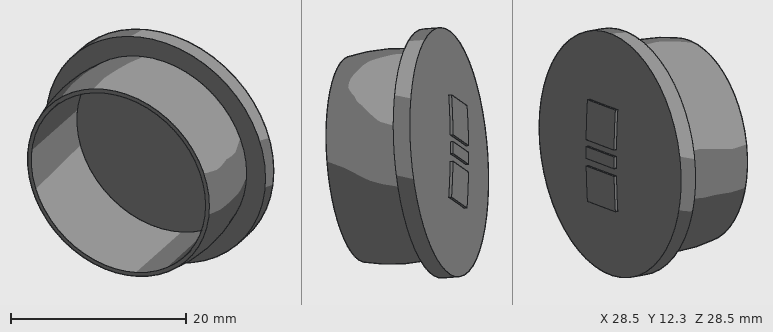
import cadquery as cq
import math


flange_radius = 28.5 / 2
flange_thickness = 2.0
dome_height = 1.1

plug_length = 8.9
plug_end_radius = 23.6 / 2
plug_belly_radius = 24.6 / 2
bore_radius = 22.6 / 2
bore_depth = plug_length + flange_thickness

pad_height = 0.3
pad_width = 5.6
pad_spans = [(1.3, 6.0), (-0.9, 0.5), (-6.0, -1.8)]

dome_top = flange_thickness + dome_height
dome_radius = (flange_radius**2 + dome_height**2) / (2 * dome_height)
dome_centre = dome_top - dome_radius


def dome_surface_y(radius, offset=0.0):
    """Y of the dome, grown outward by offset, at a distance from the axis."""
    return dome_centre + math.sqrt((dome_radius + offset) ** 2 - radius**2)


def make_body():
    """Revolve flange, dome and barrel plug as one profile about Y."""
    dome_middle_radius = flange_radius / 2
    profile = (
        cq.Workplane("XY")
        .moveTo(0, -plug_length)
        .lineTo(plug_end_radius, -plug_length)
        .threePointArc((plug_belly_radius, -plug_length / 2), (plug_end_radius, 0))
        .lineTo(flange_radius, 0)
        .lineTo(flange_radius, flange_thickness)
        .threePointArc(
            (dome_middle_radius, dome_surface_y(dome_middle_radius)),
            (0, dome_top),
        )
        .close()
    )
    return profile.revolve(360, (0, 0, 0), (0, 1, 0))


def make_bore():
    """Straight blind bore from the open end of the plug."""
    return (
        cq.Workplane("XZ", origin=(0, -plug_length, 0))
        .circle(bore_radius)
        .extrude(-bore_depth)
    )


def make_pad(z_low, z_high):
    """Pad rising from inside the flange to a surface parallel to the dome."""
    z_middle = (z_low + z_high) / 2
    root_y = flange_thickness
    profile = (
        cq.Workplane("YZ")
        .moveTo(root_y, z_low)
        .lineTo(dome_surface_y(z_low, pad_height), z_low)
        .threePointArc(
            (dome_surface_y(z_middle, pad_height), z_middle),
            (dome_surface_y(z_high, pad_height), z_high),
        )
        .lineTo(root_y, z_high)
        .close()
    )
    return profile.extrude(pad_width / 2, both=True)


result = make_body().cut(make_bore())
for z_low, z_high in pad_spans:
    result = result.union(make_pad(z_low, z_high))